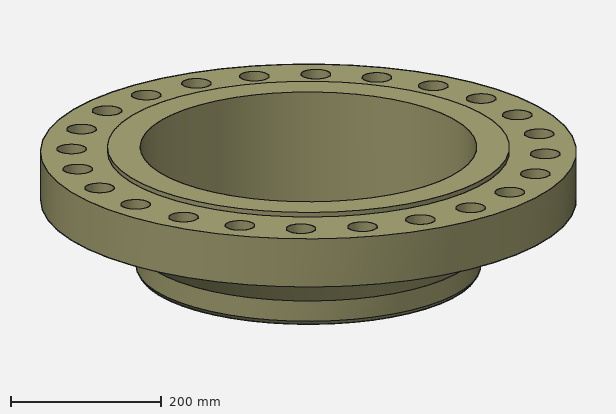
import cadquery as cq

flange_diameter = 711.0
total_height = 171.5
bore_diameter = 446.5

raised_face_diameter = 533.5
raised_face_height = 6.5
flange_thickness = 67.5

hub_diameter = 533.5
neck_diameter = 458.0
neck_height = 34.0
weld_bevel_height = 6.0
weld_bevel_width = 3.5

bolt_count = 24
bolt_circle_diameter = 629.0
bolt_hole_diameter = 39.0
bolt_pitch_angle = 360 / bolt_count

flange_top = total_height - raised_face_height
flange_bottom = flange_top - flange_thickness


def flange_body():
    """Revolve the half section of the flange, hub and neck around Z."""
    bore_radius = bore_diameter / 2
    neck_radius = neck_diameter / 2
    return (
        cq.Workplane("XZ")
        .moveTo(bore_radius, 0)
        .lineTo(neck_radius - weld_bevel_width, 0)
        .lineTo(neck_radius, weld_bevel_height)
        .lineTo(neck_radius, neck_height)
        .lineTo(hub_diameter / 2, flange_bottom)
        .lineTo(flange_diameter / 2, flange_bottom)
        .lineTo(flange_diameter / 2, flange_top)
        .lineTo(raised_face_diameter / 2, flange_top)
        .lineTo(raised_face_diameter / 2, total_height)
        .lineTo(bore_radius, total_height)
        .close()
        .revolve(360, (0, 0, 0), (0, 1, 0))
    )


def bolt_holes():
    """Cylinders that cut the bolt holes through the flange."""
    return (
        cq.Workplane("XY")
        .workplane(offset=flange_bottom)
        .polarArray(bolt_circle_diameter / 2, bolt_pitch_angle / 2, 360, bolt_count)
        .circle(bolt_hole_diameter / 2)
        .extrude(flange_thickness)
    )


result = flange_body().cut(bolt_holes())